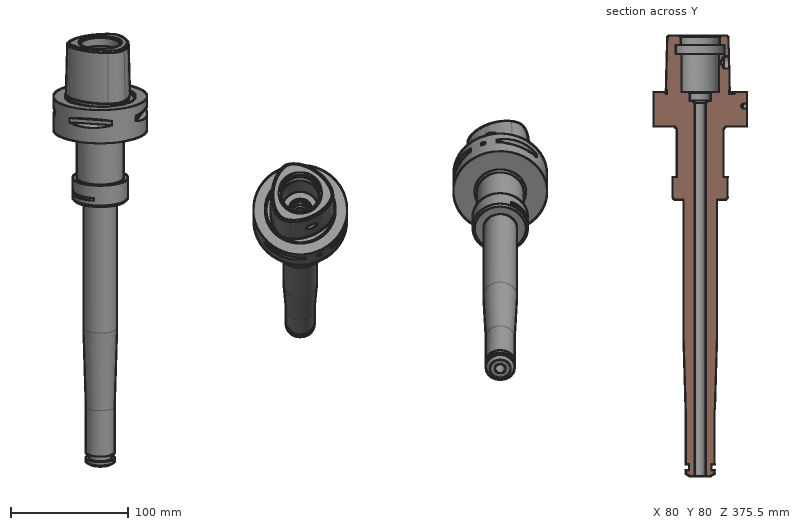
import cadquery as cq
import math

shank_top = 48.0
flange_bottom = -29.5
collar_top = -72.5
collar_bottom = -92.0
taper_top = -206.5
taper_bottom = -276.5
clip_groove_top = -317.3
clip_groove_bottom = -322.0
tip_bottom = shank_top - 375.5

flange_dia = 80.0
neck_dia = 40.0
collar_dia = 47.5
stem_dia = 29.0
pilot_dia = 24.8
clip_groove_dia = 19.5
neck_flare = 2.0
collar_chamfer = 2.0
tip_dia = 17.5
tip_chamfer_height = 2.3

shank_mean_radius = 27.5
lobe_height = 2.0
lobe_half_angle = 30
lobe_count = 3
points_per_face = 7
shank_taper = 1 / 40
shank_edge_chamfer = 1.5
shank_base = 2.0
base_inset = 0.8

recess_dia = 60.5
recess_depth = 1.5

mouth_dia = 36.8
mouth_chamfer = 1.0
entry_dia = 33.0
entry_depth = 8.3
inner_bore_dia = 32.0
clamp_groove_dia = 41.3
clamp_groove_depth = 15.8
bore_depth = shank_top
seat_dia = 17.5
seat_chamfer = 0.95
seat_depth = 7.5
coolant_entry_dia = 13.0
coolant_dia = 9.0

slot_height = -12.0
slot_floor_distance = 35.3
slot_floor_width = 3.8
slot_side_angle = 25
slot_overrun = 3.8
slot_count = 4
index_hole_dia = 4.0
index_hole_depth = 3.8
dimple_dia = 10.0
dimple_height = 25.0
dimple_depth = 4.5
drill_point_ratio = 0.3

band_top = -83.7
band_bottom = -86.0
band_depth = 0.2
band_angle = 90


def revolve(profile):
    """Turn a closed (radius, height) outline about the Z axis."""
    return cq.Workplane("XZ").polyline(profile).close().revolve(360, (0, 0, 0), (0, 1, 0))


def turned_body():
    """Flange, neck, collar, stem and tip."""
    flange_r = flange_dia / 2
    neck_r = neck_dia / 2
    collar_r = collar_dia / 2
    stem_r = stem_dia / 2
    pilot_r = pilot_dia / 2
    clip_r = clip_groove_dia / 2
    recess_r = recess_dia / 2
    return revolve([
        (0, -recess_depth),
        (recess_r - recess_depth, -recess_depth),
        (recess_r, 0),
        (flange_r, 0),
        (flange_r, flange_bottom),
        (neck_r + neck_flare, flange_bottom),
        (neck_r, flange_bottom - neck_flare),
        (neck_r, collar_top),
        (collar_r, collar_top),
        (collar_r, collar_bottom + collar_chamfer),
        (collar_r - collar_chamfer, collar_bottom),
        (stem_r, collar_bottom),
        (stem_r, taper_top),
        (pilot_r, taper_bottom),
        (pilot_r, clip_groove_top),
        (clip_r, clip_groove_top),
        (clip_r, clip_groove_bottom),
        (pilot_r, clip_groove_bottom),
        (pilot_r, tip_bottom + tip_chamfer_height),
        (tip_dia / 2, tip_bottom),
        (0, tip_bottom),
    ])


def lobed_point(mean_radius, angle):
    """Point of the lobed outline whose outward normal has the given angle in degrees."""
    a = math.radians(angle)
    reach = mean_radius + lobe_height * math.cos(lobe_count * a)
    slide = -lobe_count * lobe_height * math.sin(lobe_count * a)
    return cq.Vector(
        reach * math.cos(a) - slide * math.sin(a),
        reach * math.sin(a) + slide * math.cos(a),
    )


def lobed_tangent(angle):
    """Direction of the lobed outline where its outward normal has the given angle."""
    a = math.radians(angle)
    return cq.Vector(-math.sin(a), math.cos(a))


def lobed_wire(mean_radius, height):
    """Closed lobed outline, split where each lobe meets the flatter sides."""
    pitch = 360 / lobe_count
    edges = []
    steps = points_per_face - 1
    for i in range(lobe_count):
        lobe_start = i * pitch - lobe_half_angle
        lobe_end = i * pitch + lobe_half_angle
        for start, end in ((lobe_start, lobe_end), (lobe_end, lobe_start + pitch)):
            angles = [start + (end - start) * k / steps for k in range(points_per_face)]
            points = [lobed_point(mean_radius, a) + cq.Vector(0, 0, height) for a in angles]
            tangents = [lobed_tangent(start), lobed_tangent(end)]
            edges.append(cq.Edge.makeSpline(points, tangents=tangents))
    return cq.Wire.assembleEdges(edges)


def shank():
    """Tapered lobed shank with a chamfered top edge and a slightly drawn-in foot."""
    chamfer_start = shank_top - shank_edge_chamfer
    top_radius = shank_mean_radius - shank_taper * chamfer_start
    sections = [
        (shank_mean_radius - base_inset, -recess_depth),
        (shank_mean_radius - base_inset, shank_base - base_inset),
        (shank_mean_radius, shank_base),
        (top_radius, chamfer_start),
        (top_radius - shank_edge_chamfer, shank_top),
    ]
    wires = [lobed_wire(radius, height) for radius, height in sections]
    return cq.Workplane(cq.Solid.makeLoft(wires, True))


def bore():
    """Stepped bore from the shank top, with the coolant hole running out at the tip."""
    mouth_r = mouth_dia / 2
    entry_r = entry_dia / 2
    inner_bore_r = inner_bore_dia / 2
    clamp_r = clamp_groove_dia / 2
    seat_r = seat_dia / 2
    coolant_r = coolant_dia / 2
    coolant_entry_r = coolant_entry_dia / 2
    bore_floor = shank_top - bore_depth
    seat_floor = bore_floor - seat_depth
    return revolve([
        (0, shank_top),
        (mouth_r, shank_top),
        (entry_r, shank_top - mouth_chamfer),
        (entry_r, shank_top - entry_depth),
        (clamp_r, shank_top - entry_depth),
        (clamp_r, shank_top - clamp_groove_depth),
        (inner_bore_r, shank_top - clamp_groove_depth),
        (inner_bore_r, bore_floor),
        (seat_r + seat_chamfer, bore_floor),
        (seat_r, bore_floor - seat_chamfer),
        (seat_r, seat_floor),
        (coolant_entry_r, seat_floor),
        (coolant_r, seat_floor - (coolant_entry_r - coolant_r)),
        (coolant_r, tip_bottom),
        (0, tip_bottom),
    ])


def gripper_slots():
    """Trapezoidal straight slots across the flange rim on the four diagonals."""
    outer = flange_dia / 2 + slot_overrun
    floor_half = slot_floor_width / 2
    mouth_half = floor_half + (outer - slot_floor_distance) * math.tan(math.radians(slot_side_angle))
    slot = (
        cq.Workplane("XZ")
        .polyline([
            (slot_floor_distance, slot_height - floor_half),
            (outer, slot_height - mouth_half),
            (outer, slot_height + mouth_half),
            (slot_floor_distance, slot_height + floor_half),
        ])
        .close()
        .extrude(outer, both=True)
    )
    slots = cq.Workplane()
    pitch = 360 / slot_count
    for i in range(slot_count):
        slots = slots.add(slot.rotate((0, 0, 0), (0, 0, 1), (i + 0.5) * pitch))
    return slots.combine()


def drilled_hole(diameter, height, mouth, floor):
    """Blind hole along +X with a drill point beyond its floor."""
    radius = diameter / 2
    hole = (
        cq.Workplane("XY")
        .polyline([
            (mouth, 0),
            (mouth, radius),
            (floor, radius),
            (floor + drill_point_ratio * diameter, 0),
        ])
        .close()
        .revolve(360, (0, 0, 0), (1, 0, 0))
    )
    return hole.translate((0, 0, height))


def collar_band():
    """Shallow band around a quarter of the collar, centred on -Y."""
    collar_r = collar_dia / 2
    band = (
        cq.Workplane("XZ")
        .polyline([
            (collar_r - band_depth, band_bottom),
            (collar_r + band_depth, band_bottom),
            (collar_r + band_depth, band_top),
            (collar_r - band_depth, band_top),
        ])
        .close()
        .revolve(band_angle, (0, 0, 0), (0, 1, 0))
    )
    centre = band.val().Center()
    turn = -90 - math.degrees(math.atan2(centre.y, centre.x))
    return band.rotate((0, 0, 0), (0, 0, 1), turn)


index_hole_floor = index_hole_depth - flange_dia / 2
flat_side = lobe_height - shank_mean_radius + shank_taper * dimple_height
result = turned_body().union(shank()).cut(bore()).cut(gripper_slots())
result = result.cut(drilled_hole(index_hole_dia, slot_height, -flange_dia / 2, index_hole_floor))
result = result.cut(drilled_hole(dimple_dia, dimple_height, -shank_mean_radius, flat_side + dimple_depth))
result = result.cut(collar_band())